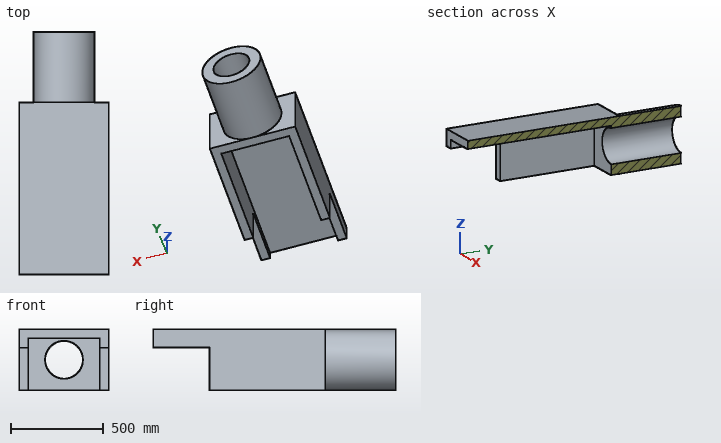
import cadquery as cq

length = 1308.0
width = 483.0
height = 330.0

tube_length = 380.0
wall = 50.0
overhang = 303.0
lip_height = 100.0

bore_diameter = 203.0

housing_length = length - tube_length
axis_height = height / 2


def block(size_x, size_y, size_z, front, bottom):
    """Box centred on X, starting at the given front and bottom positions."""
    box = cq.Workplane("XY").box(size_x, size_y, size_z, centered=(True, False, False))
    return box.translate((0, front, bottom))


def rear_cylinder(diameter, start, end):
    """Cylinder on the tube axis, running along Y from start to end."""
    plane = cq.Workplane("XZ", origin=(0, start, axis_height))
    return plane.circle(diameter / 2).extrude(start - end)


housing = block(width, housing_length, height, 0, 0)
housing = housing.cut(block(width - 2 * wall, housing_length - wall, height - wall, 0, 0))

housing = housing.cut(block(width, overhang, height - lip_height, 0, 0))

tube = rear_cylinder(height, housing_length, length)
bore = rear_cylinder(bore_diameter, housing_length - wall, length)

result = housing.union(tube).cut(bore)